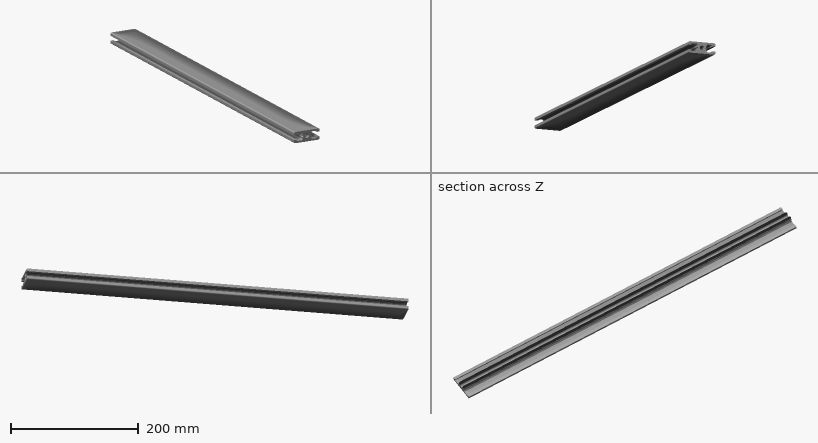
import cadquery as cq

length = 609.5
width = 45.0
height = 18.0
corner_radius = 2.0

mouth_height = 8.0
cavity_height = 12.0
lip_depth = 5.0
web_width = 14.5
web_bevel_run = 2.0
web_bevel_rise = 2.0

groove_depth = 1.0
groove_height = 2.5

bore_diameter = 7.5


def make_bar():
    """Solid bar with its four long edges rounded."""
    return cq.Workplane("XY").box(length, width, height).edges("|X").fillet(corner_radius)


def make_slot(side):
    """T-slot with a bevelled, V-grooved floor; side is +1 or -1 along Y."""
    mouth_y = width / 2
    lip_y = mouth_y - lip_depth
    web_y = web_width / 2
    upper_half = [
        (mouth_y, mouth_height / 2),
        (lip_y, mouth_height / 2),
        (lip_y, cavity_height / 2),
        (web_y + web_bevel_run, cavity_height / 2),
        (web_y, cavity_height / 2 - web_bevel_rise),
        (web_y, groove_height / 2),
    ]
    groove_bottom = (web_y - groove_depth, 0)
    lower_half = [(y, -z) for y, z in reversed(upper_half)]
    outline = [(side * y, z) for y, z in upper_half + [groove_bottom] + lower_half]
    return (
        cq.Workplane("YZ")
        .polyline(outline)
        .close()
        .extrude(length / 2, both=True)
    )


def make_bore():
    """Round bore through the whole length of the web."""
    return cq.Workplane("YZ").circle(bore_diameter / 2).extrude(length / 2, both=True)


result = make_bar()
for side in (1, -1):
    result = result.cut(make_slot(side))
result = result.cut(make_bore())